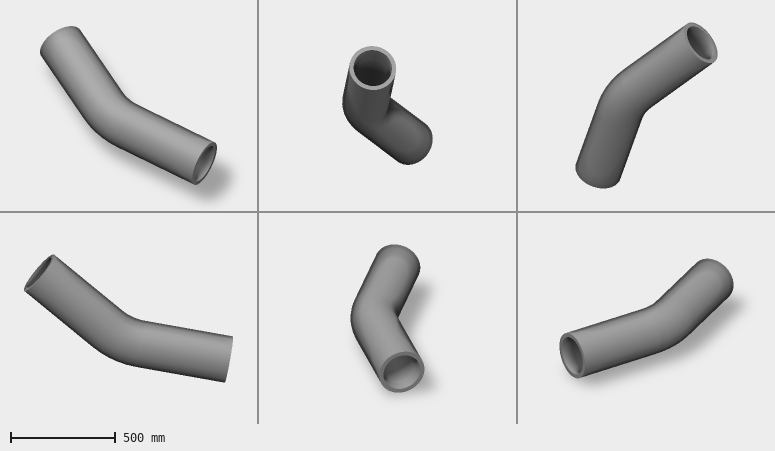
import cadquery as cq
import math

overall_length = 1027.0
outer_diameter = 225.0
inner_diameter = 184.0
bend_angle = 30.0
bend_radius = 1.5 * outer_diameter

bend_sine = math.sin(math.radians(bend_angle))
bend_cosine = math.cos(math.radians(bend_angle))
end_face_overhang = outer_diameter / 2 * bend_sine
leg_length = (overall_length - bend_radius * bend_sine - end_face_overhang) / (1 + bend_cosine)


def bent_rod(diameter):
    """Solid rod along +X that bends towards +Y and continues straight."""
    section = cq.Workplane("YZ").circle(diameter / 2)
    first_leg = section.extrude(leg_length)

    bend = (
        cq.Workplane("YZ", origin=(leg_length, 0, 0))
        .circle(diameter / 2)
        .revolve(bend_angle, (bend_radius, 0, 0), (bend_radius, 1, 0))
    )

    bend_end = (
        leg_length + bend_radius * bend_sine,
        bend_radius * (1 - bend_cosine),
        0,
    )
    end_plane = cq.Plane(origin=bend_end, xDir=(0, 0, 1), normal=(bend_cosine, bend_sine, 0))
    second_leg = cq.Workplane(end_plane).circle(diameter / 2).extrude(leg_length)

    return first_leg.union(bend).union(second_leg)


result = bent_rod(outer_diameter).cut(bent_rod(inner_diameter))